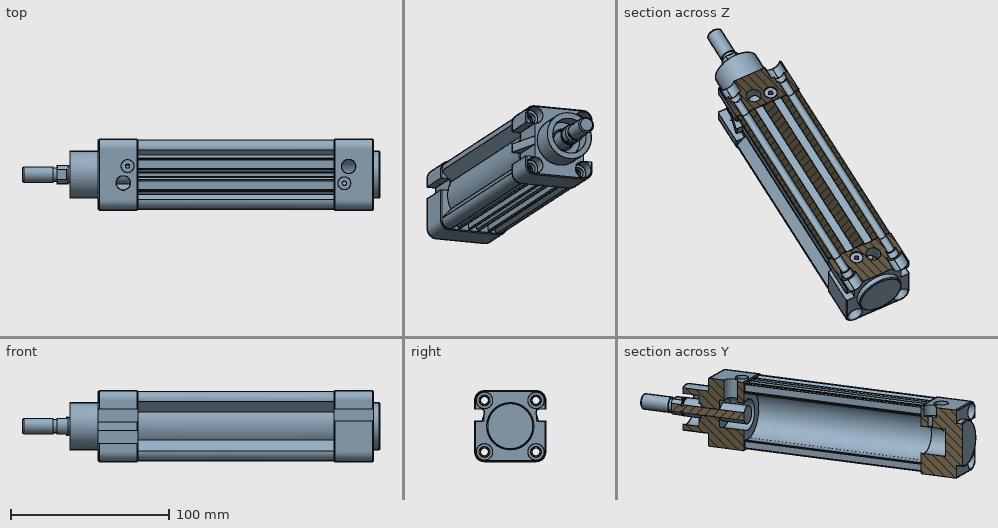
import cadquery as cq
import math

TOTAL_LENGTH = 226.0
CAP_SIZE = 45.0
CAP_LENGTH = 25.0
FRONT_CAP_X = 48.0
SPIGOT_RADIUS = 15.0
REAR_SPIGOT_LENGTH = 4.0
REAR_CAP_END = TOTAL_LENGTH - REAR_SPIGOT_LENGTH
REAR_CAP_X = REAR_CAP_END - CAP_LENGTH
TUBE_X = FRONT_CAP_X + CAP_LENGTH
TUBE_LENGTH = REAR_CAP_X - TUBE_X

SCREW_OFFSET = 16.3
SCREW_HEAD_RADIUS = 5.2
SCREW_HEAD_DEPTH = 9.0
SOCKET_RADIUS = 3.5
SOCKET_DEPTH = 4.5
SCREW_BORE_RADIUS = 2.5

CAP_HALF = CAP_SIZE / 2
CAP_CHAMFER = 0.7
CAP_CORNER_RADIUS = CAP_HALF - SCREW_OFFSET
WAIST_HALF_WIDTH = 16.5
EAR_INNER_Z = 10.8
SIDE_BLOCK_TOP = 3.2
WEDGE_TOP = 2.7
WEDGE_BOTTOM = -2.7

PORT_RADIUS = 4.5
PORT_Y = 5.2
PORT_FROM_TUBE = 9.3
CUSHION_RADIUS = 4.0
CUSHION_DEPTH = 6.8
CUSHION_BORE_RADIUS = 1.4
CUSHION_Y = 5.5
CUSHION_FROM_TUBE = 6.5
CHAMBER_RADIUS = 10.2
CHAMBER_DEPTH = 17.0

FRONT_SPIGOT_LENGTH = 17.9
FRONT_SPIGOT_X = FRONT_CAP_X - FRONT_SPIGOT_LENGTH
RECESS_RADIUS = 11.3
RECESS_DEPTH = 11.3
SEAL_RADIUS = 7.0
SEAL_DEPTH = 1.4
SPIGOT_CHAMFER = 0.7

ROD_RADIUS = 5.9
ROD_FLAT_HALF = 5.0
THREAD_RADIUS = 5.0
THREAD_LENGTH = 19.5
THREAD_CHAMFER = 1.0
NECK_RADIUS = 4.3
NECK_END = 22.0
FLAT_END = 28.0
GROOVE_X = 29.0
GROOVE_WIDTH = 1.1
GROOVE_RADIUS = 5.5

TUBE_HALF = 22.0
BORE_RADIUS = 16.0
BARREL_RADIUS = 18.0
LOBE_EDGE = 15.5
BARREL_EDGE_Z = 8.8
VALLEY_Y = 12.5
VALLEY_Z = 18.8
LIP_Z = 21.5
LIP_CHAMFER = 0.7
OUTER_LIP_Y = 10.6
OUTER_LIP_FOOT_Z = 20.3
SLOT_OUTER_Y = 9.3
SLOT_INNER_Y = 3.8
SLOT_FLOOR_Z = 16.3
GROOVE_SHOULDER_Y = 1.8
GROOVE_SHOULDER_Z = 20.5
GROOVE_FLOOR_Y = 1.1
GROOVE_FLOOR_Z = 18.5


def cylinder(x_start, length, radius):
    """Cylinder on the X axis."""
    return cq.Workplane("YZ", origin=(x_start, 0, 0)).circle(radius).extrude(length)


def screw_cylinders(x_start, length, radius):
    """Four cylinders on the corner screw axes."""
    pitch = 2 * SCREW_OFFSET
    plane = cq.Workplane("YZ", origin=(x_start, 0, 0))
    return plane.rect(pitch, pitch, forConstruction=True).vertices().circle(radius).extrude(length)


def box(x_range, y_range, z_range):
    """Box between pairs of limits."""
    sizes = [high - low for low, high in (x_range, y_range, z_range)]
    return cq.Workplane("XY").box(*sizes, centered=False).translate((x_range[0], y_range[0], z_range[0]))


def cap_block(x_start):
    """Square block with round long corners and chamfered ends."""
    block = cq.Workplane("YZ", origin=(x_start, 0, 0)).rect(CAP_SIZE, CAP_SIZE).extrude(CAP_LENGTH)
    return block.edges("|X").fillet(CAP_CORNER_RADIUS).faces("<X or >X").chamfer(CAP_CHAMFER)


def side_notch(x_start, bottom, top):
    """Notch volume cut from the -Y side down to the waist of the cap."""
    return box((x_start, x_start + CAP_LENGTH), (-CAP_HALF, -WAIST_HALF_WIDTH), (bottom, top))


def upright_prism(outline, bottom, top):
    """Vertical prism over an outline of (x, y) points."""
    return cq.Workplane("XY", origin=(0, 0, bottom)).polyline(outline).close().extrude(top - bottom)


def both_sides(shape):
    """The shape and its mirror image across the XZ plane."""
    return shape.union(shape.mirror("XZ"))


def screw_recesses(outer_x, inward):
    """Stepped screw holes entering a cap from its outer face; inward is +1 or -1 along X."""
    heads = screw_cylinders(outer_x, inward * SCREW_HEAD_DEPTH, SCREW_HEAD_RADIUS)
    sockets = screw_cylinders(outer_x, inward * (SCREW_HEAD_DEPTH + SOCKET_DEPTH), SOCKET_RADIUS)
    bores = screw_cylinders(outer_x, inward * CAP_LENGTH, SCREW_BORE_RADIUS)
    return heads.union(sockets).union(bores)


def top_drill(x, y, radius, depth):
    """Vertical drill volume from the top face of a cap."""
    return cq.Workplane("XY", origin=(x, y, CAP_HALF)).circle(radius).extrude(-depth)


def air_passages(tube_face_x, outward, port_y, cushion_y):
    """Chamber, port and cushion-screw hole; outward is the X direction away from the tube."""
    port_x = tube_face_x + outward * PORT_FROM_TUBE
    cushion_x = tube_face_x + outward * CUSHION_FROM_TUBE
    passages = cylinder(tube_face_x, outward * CHAMBER_DEPTH, CHAMBER_RADIUS)
    passages = passages.union(top_drill(port_x, port_y, PORT_RADIUS, CAP_HALF))
    passages = passages.union(top_drill(cushion_x, cushion_y, CUSHION_RADIUS, CUSHION_DEPTH))
    return passages.union(top_drill(cushion_x, cushion_y, CUSHION_BORE_RADIUS, CAP_HALF))


def build_rod():
    """Piston rod with threaded end, neck, two wrench flats and a narrow groove."""
    thread = cylinder(0, THREAD_LENGTH, THREAD_RADIUS).faces("<X").chamfer(THREAD_CHAMFER)
    neck = cylinder(THREAD_LENGTH, NECK_END - THREAD_LENGTH, NECK_RADIUS)
    shank = cylinder(NECK_END, TUBE_X - NECK_END, ROD_RADIUS)
    flats = box((NECK_END, FLAT_END), (-ROD_RADIUS, ROD_RADIUS), (ROD_FLAT_HALF, ROD_RADIUS))
    shank = shank.cut(flats).cut(flats.mirror("XY"))
    groove_core = cylinder(GROOVE_X, GROOVE_WIDTH, GROOVE_RADIUS)
    groove = cylinder(GROOVE_X, GROOVE_WIDTH, ROD_RADIUS).cut(groove_core)
    return thread.union(neck).union(shank.cut(groove))


def build_front_cap():
    """Front cap with spigot, side wedges, ports and rod passage."""
    wedge_outline = [
        (FRONT_CAP_X, -WAIST_HALF_WIDTH),
        (TUBE_X - CAP_CHAMFER, -CAP_HALF),
        (TUBE_X, -CAP_HALF),
        (TUBE_X, -WAIST_HALF_WIDTH),
    ]
    wedge = upright_prism(wedge_outline, WEDGE_BOTTOM, WEDGE_TOP)
    notch = side_notch(FRONT_CAP_X, -EAR_INNER_Z, EAR_INNER_Z).cut(wedge)
    cap = cap_block(FRONT_CAP_X).cut(both_sides(notch))
    cap = cap.union(cylinder(FRONT_SPIGOT_X, FRONT_SPIGOT_LENGTH, SPIGOT_RADIUS))
    cap = cap.cut(cylinder(FRONT_SPIGOT_X, RECESS_DEPTH, RECESS_RADIUS))
    cap = cap.cut(cylinder(FRONT_SPIGOT_X, RECESS_DEPTH + SEAL_DEPTH, SEAL_RADIUS))
    cap = cap.cut(cylinder(FRONT_SPIGOT_X, TUBE_X - FRONT_SPIGOT_X, ROD_RADIUS))
    cap = cap.cut(screw_recesses(FRONT_CAP_X, 1))
    return cap.cut(air_passages(TUBE_X, -1, -PORT_Y, CUSHION_Y))


def build_rear_cap():
    """Rear cap with spigot, side blocks and ports."""
    notch = side_notch(REAR_CAP_X, SIDE_BLOCK_TOP, EAR_INNER_Z)
    cap = cap_block(REAR_CAP_X).cut(both_sides(notch))
    spigot = cylinder(REAR_CAP_END, REAR_SPIGOT_LENGTH, SPIGOT_RADIUS)
    cap = cap.union(spigot.faces(">X").chamfer(SPIGOT_CHAMFER))
    cap = cap.cut(screw_recesses(REAR_CAP_END, -1))
    return cap.cut(air_passages(REAR_CAP_X, 1, PORT_Y, -CUSHION_Y))


def tube_block():
    """Square bar with rounded long corners, before its hollows are cut."""
    lobe_radius = TUBE_HALF - SCREW_OFFSET
    outline = cq.Workplane("YZ", origin=(TUBE_X, 0, 0)).rect(2 * TUBE_HALF, 2 * TUBE_HALF)
    return outline.extrude(TUBE_LENGTH).edges("|X").fillet(lobe_radius)


def side_hollow():
    """Volume between the -Y lobes, reaching in to the round barrel."""
    barrel_edge_y = math.sqrt(BARREL_RADIUS**2 - BARREL_EDGE_Z**2)
    return (
        cq.Workplane("YZ", origin=(TUBE_X, 0, 0))
        .moveTo(-TUBE_HALF, LOBE_EDGE)
        .lineTo(-barrel_edge_y, BARREL_EDGE_Z)
        .threePointArc((-BARREL_RADIUS, 0), (-barrel_edge_y, -BARREL_EDGE_Z))
        .lineTo(-TUBE_HALF, -LOBE_EDGE)
        .close()
        .extrude(TUBE_LENGTH)
    )


def slotted_hollow():
    """Volume above the slotted top: two sensor slots, a centre groove and outer valleys."""
    half_profile = [
        (LOBE_EDGE, TUBE_HALF),
        (VALLEY_Y, VALLEY_Z),
        (OUTER_LIP_Y, OUTER_LIP_FOOT_Z),
        (OUTER_LIP_Y, LIP_Z),
        (SLOT_OUTER_Y + LIP_CHAMFER, LIP_Z),
        (SLOT_OUTER_Y, LIP_Z - LIP_CHAMFER),
        (SLOT_OUTER_Y, SLOT_FLOOR_Z),
        (SLOT_INNER_Y, SLOT_FLOOR_Z),
        (SLOT_INNER_Y, LIP_Z - LIP_CHAMFER),
        (SLOT_INNER_Y - LIP_CHAMFER, LIP_Z),
        (GROOVE_SHOULDER_Y, GROOVE_SHOULDER_Z),
        (GROOVE_FLOOR_Y, GROOVE_FLOOR_Z),
    ]
    mirrored_half = [(-y, z) for y, z in reversed(half_profile)]
    plane = cq.Workplane("YZ", origin=(TUBE_X, 0, 0))
    return plane.polyline(half_profile + mirrored_half).close().extrude(TUBE_LENGTH)


def build_tube():
    """Tube with slots above and below, the piston bore and the four screw bores."""
    slots = slotted_hollow()
    tube = tube_block().cut(both_sides(side_hollow()))
    tube = tube.cut(slots).cut(slots.mirror("XY"))
    tube = tube.cut(cylinder(TUBE_X, TUBE_LENGTH, BORE_RADIUS))
    return tube.cut(screw_cylinders(TUBE_X, TUBE_LENGTH, SCREW_BORE_RADIUS))


rod = build_rod()
front_cap = build_front_cap()
tube = build_tube()
rear_cap = build_rear_cap()

result = cq.Compound.makeCompound([rod.val(), front_cap.val(), tube.val(), rear_cap.val()])